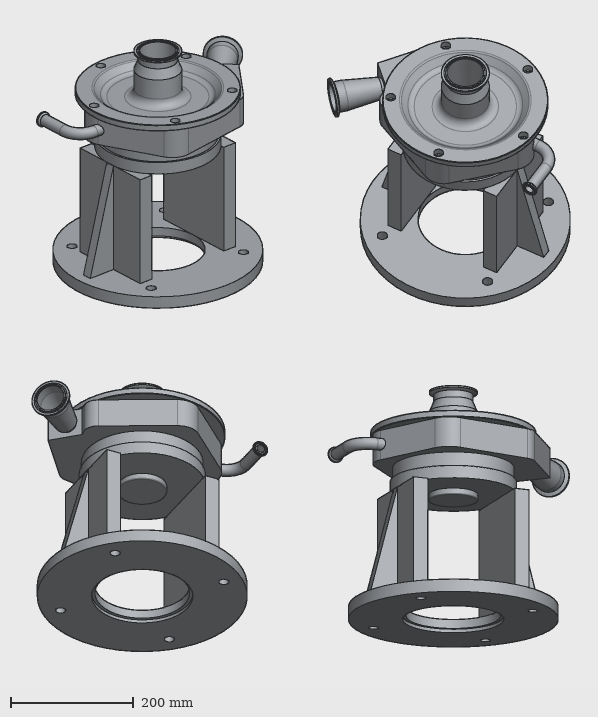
import cadquery as cq
import math

overall_depth = 413.0

base_radius = 171.5
base_height = 21.0
base_opening_radius = 77.2
base_recess_radius = 82.5
base_recess_depth = 5.8
base_hole_radius = 8.3
base_hole_offset = 99.0

flange_bottom = 211.0
upright_width = 150.8
upright_inner_y = 77.2
upright_outer_y = 102.5
rib_width = 17.0
rib_foot_y = 152.5

flange_radius = 103.3
neck_bottom = 232.0
neck_radius = 99.5
hub_radius = 40.0
hub_drop = 10.5
hub_round = 1.2

volute_bottom = 255.5
volute_top = 305.5
corner_step = 72
plain_corner_angles = [189, 189 + corner_step, 189 + 2 * corner_step]
outlet_side_corner_angles = [47, 115]
plain_corner_distance = 99.0
plain_corner_radius = 35.0
outlet_side_corner_distance = 115.2
outlet_side_corner_radius = 24.8

outlet_face_distance = 115.0
outlet_corner_offset = 124.0
outlet_hidden_offset = 44.5
outlet_height = (volute_bottom + volute_top) / 2

cover_top = 317.0
cover_radius = 135.0
cover_chamfer = 1.05
bolt_count = 5
bolt_circle_radius = 122.0
first_bolt_angle = 45
clearance_hole_radius = 8.0
tapped_hole_radius = 5.0
tapped_hole_depth = 16.5

dish_depth = 16.0
dish_rim_radius = 107.5
dish_rim_round = 4.5
dish_floor_radius = 83.5

tube_radius = 39.2
tube_cove = 15.0
tube_shoulder = 350.5
reducer_top = 367.5
suction_top = 385.0
suction_neck_radius = 32.2
suction_ferrule_radius = 39.2
pipe_wall = 2.5

nozzle_axis_offset = 91.3
nozzle_end_distance = 200.0
nozzle_mouth_radius = 25.5
nozzle_root_radius = 18.5
nozzle_root_round = 2.5
nozzle_root_length = 5.0
nozzle_straight_length = 20.0
nozzle_ferrule_radius = 32.2

drain_height = 282.0
drain_radius = 10.0
drain_bore_radius = 7.0
drain_bend_radius = 34.3
drain_end_x = -89.0
drain_root_y = -124.0
drain_ferrule_radius = 13.0
drain_groove_radius = 9.0

ferrule_rim = 3.0
ferrule_cone = 3.0
ferrule_groove_depth = 1.05
ferrule_groove_width = 2.5


def polar(distance, angle):
    turn = math.radians(angle)
    return (distance * math.cos(turn), distance * math.sin(turn))


def cylinder(radius, bottom, top):
    return cq.Workplane("XY").workplane(offset=bottom).circle(radius).extrude(top - bottom)


def revolved(points):
    """Turn (radius, axial) points about the Z axis."""
    return cq.Workplane("XZ").polyline(points).close().revolve(360, (0, 0, 0), (0, 1, 0))


def rounded_outline(corners):
    """Closed convex outline around (centre, radius) corners listed counterclockwise."""
    tangents = []
    for index, (start, start_radius) in enumerate(corners):
        end, end_radius = corners[(index + 1) % len(corners)]
        dx = end[0] - start[0]
        dy = end[1] - start[1]
        lean = math.acos((start_radius - end_radius) / math.hypot(dx, dy))
        tangents.append(math.atan2(dy, dx) - lean)

    def on_corner(index, angle):
        (x, y), radius = corners[index]
        return (x + radius * math.cos(angle), y + radius * math.sin(angle))

    outline = cq.Workplane("XY").moveTo(*on_corner(0, tangents[0]))
    for index in list(range(1, len(corners))) + [0]:
        arrive = tangents[index - 1]
        leave = tangents[index]
        outline = outline.lineTo(*on_corner(index, arrive))
        if corners[index][1] > 0:
            middle = arrive + ((leave - arrive) % (2 * math.pi)) / 2
            outline = outline.threePointArc(on_corner(index, middle), on_corner(index, leave))
    return outline.close()


def make_base():
    base = cylinder(base_radius, 0, base_height)
    base = base.cut(cylinder(base_opening_radius, 0, base_height))
    base = base.cut(cylinder(base_recess_radius, 0, base_recess_depth))
    holes = (
        cq.Workplane("XY")
        .rect(2 * base_hole_offset, 2 * base_hole_offset, forConstruction=True)
        .vertices()
        .circle(base_hole_radius)
        .extrude(base_height)
    )
    return base.cut(holes)


def make_support():
    """One upright with its rib, on the +Y side."""
    upright = cq.Workplane("XY").box(
        upright_width,
        upright_outer_y - upright_inner_y,
        flange_bottom - base_height,
        centered=(True, False, False),
    ).translate((0, upright_inner_y, base_height))
    rib = (
        cq.Workplane("YZ")
        .polyline([
            (upright_inner_y, base_height),
            (rib_foot_y, base_height),
            (upright_outer_y, flange_bottom),
            (upright_inner_y, flange_bottom),
        ])
        .close()
        .extrude(rib_width / 2, both=True)
    )
    return upright.union(rib)


def make_housing_back():
    hub = cylinder(hub_radius, flange_bottom - hub_drop, flange_bottom).faces("<Z").edges().fillet(hub_round)
    flange = cylinder(flange_radius, flange_bottom, neck_bottom)
    neck = cylinder(neck_radius, neck_bottom, volute_bottom)
    return hub.union(flange).union(neck)


def make_volute():
    outlet_side = [
        (polar(outlet_side_corner_distance, angle), outlet_side_corner_radius)
        for angle in outlet_side_corner_angles
    ]
    plain = [(polar(plain_corner_distance, angle), plain_corner_radius) for angle in plain_corner_angles]

    def on_outlet_face(offset):
        x_face, y_face = polar(outlet_face_distance, 135)
        x_along, y_along = polar(offset, 45)
        return (x_face + x_along, y_face + y_along)

    outlet_corners = [
        outlet_side[0],
        (on_outlet_face(outlet_corner_offset), 0),
        (on_outlet_face(outlet_hidden_offset), 0),
        ((0, 0), 0),
    ]
    height = volute_top - volute_bottom
    pentagon = rounded_outline(outlet_side + plain).extrude(height)
    outlet_block = rounded_outline(outlet_corners).extrude(height)
    return pentagon.union(outlet_block).translate((0, 0, volute_bottom))


def make_dish():
    """Ring-shaped space between the cover rim and the foot of the suction tube."""
    slope = math.sqrt(0.5)
    half_sin = math.sin(math.pi / 8)
    half_cos = math.cos(math.pi / 8)
    rim_drop = dish_rim_round * (1 - slope)
    wall_top = (dish_rim_radius - dish_rim_round * slope, cover_top - rim_drop)
    rim_middle = (
        dish_rim_radius - dish_rim_round * half_sin,
        cover_top - dish_rim_round * (1 - half_cos),
    )

    floor = cover_top - dish_depth
    wall_run = wall_top[0] - dish_floor_radius
    wall_drop = wall_top[1] - floor
    floor_round = (wall_run - wall_drop) / (2 * slope - 1)
    wall_foot = (dish_floor_radius + floor_round * slope, floor + floor_round * (1 - slope))
    floor_middle = (
        dish_floor_radius + floor_round * half_sin,
        floor + floor_round * (1 - half_cos),
    )
    cove_offset = tube_cove * (1 - slope)
    return (
        cq.Workplane("XZ")
        .moveTo(tube_radius, cover_top)
        .lineTo(dish_rim_radius, cover_top)
        .threePointArc(rim_middle, wall_top)
        .lineTo(*wall_foot)
        .threePointArc(floor_middle, (dish_floor_radius, floor))
        .lineTo(tube_radius + tube_cove, floor)
        .threePointArc(
            (tube_radius + cove_offset, floor + cove_offset),
            (tube_radius, floor + tube_cove),
        )
        .close()
        .revolve(360, (0, 0, 0), (0, 1, 0))
    )


def make_cover():
    return cylinder(cover_radius, volute_top, cover_top).edges().chamfer(cover_chamfer)


def make_bolt_hole():
    """Clearance hole through the cover and a drilled hole with a conical tip below it."""
    drill_end = volute_top - tapped_hole_depth
    return revolved([
        (0, cover_top),
        (clearance_hole_radius, cover_top),
        (clearance_hole_radius, volute_top),
        (tapped_hole_radius, volute_top),
        (tapped_hole_radius, drill_end),
        (0, drill_end - tapped_hole_radius),
    ])


def ferrule_points(rim_radius, neck_radius, end):
    """Outer profile of a clamp ferrule that ends at the axial position `end`."""
    return [
        (neck_radius, end - ferrule_rim - ferrule_cone),
        (rim_radius, end - ferrule_rim),
        (rim_radius, end),
        (0, end),
    ]


def ferrule_groove(inner_radius, end):
    groove = cq.Workplane("XY").workplane(offset=end - ferrule_groove_depth)
    return groove.circle(inner_radius + ferrule_groove_width).circle(inner_radius).extrude(ferrule_groove_depth)


def make_suction():
    floor = cover_top - dish_depth
    outside = revolved([
        (0, floor),
        (tube_radius, floor),
        (tube_radius, tube_shoulder),
        (suction_neck_radius, reducer_top),
    ] + ferrule_points(suction_ferrule_radius, suction_neck_radius, suction_top))
    return outside.cut(ferrule_groove(suction_neck_radius, suction_top))


def make_suction_bore():
    return cylinder(suction_neck_radius - pipe_wall, outlet_height, suction_top)


def make_nozzle():
    length = nozzle_end_distance - outlet_face_distance
    taper_end = length - nozzle_straight_length
    outside = revolved([
        (0, 0),
        (nozzle_root_radius - nozzle_root_round, 0),
        (nozzle_root_radius, nozzle_root_length),
        (nozzle_mouth_radius, taper_end),
    ] + ferrule_points(nozzle_ferrule_radius, nozzle_mouth_radius, length))
    bore = revolved([
        (0, 0),
        (nozzle_root_radius - nozzle_root_round - pipe_wall, 0),
        (nozzle_root_radius - pipe_wall, nozzle_root_length),
        (nozzle_mouth_radius - pipe_wall, taper_end),
        (nozzle_mouth_radius - pipe_wall, length),
        (0, length),
    ])
    nozzle = outside.cut(bore).cut(ferrule_groove(nozzle_mouth_radius, length))
    return (
        nozzle.rotate((0, 0, 0), (0, 1, 0), 90)
        .translate((outlet_face_distance, -nozzle_axis_offset, outlet_height))
        .rotate((0, 0, 0), (0, 0, 1), 135)
    )


nozzle_top_y = (nozzle_end_distance + nozzle_axis_offset + nozzle_ferrule_radius) * math.sqrt(0.5)
drain_run_y = nozzle_top_y + drain_ferrule_radius - overall_depth


def drain_sweep(radius):
    """Round bar that leaves the volute along -Y and turns through the elbow to -X."""
    bend_start_y = drain_run_y + drain_bend_radius
    bend_inset = drain_bend_radius * (1 - math.sqrt(0.5))
    path = (
        cq.Workplane("XY", origin=(0, 0, drain_height))
        .moveTo(0, drain_root_y)
        .lineTo(0, bend_start_y)
        .threePointArc((-bend_inset, drain_run_y + bend_inset), (-drain_bend_radius, drain_run_y))
        .lineTo(drain_end_x, drain_run_y)
    )
    profile = cq.Workplane("XZ", origin=(0, drain_root_y, drain_height)).circle(radius)
    return profile.sweep(path)


def make_drain():
    ferrule = revolved(
        [(0, -ferrule_rim - ferrule_cone)] + ferrule_points(drain_ferrule_radius, drain_radius, 0)
    )
    ferrule = ferrule.cut(ferrule_groove(drain_groove_radius, 0))
    ferrule = ferrule.rotate((0, 0, 0), (0, 1, 0), -90).translate((drain_end_x, drain_run_y, drain_height))
    return drain_sweep(drain_radius).union(ferrule)


support = make_support()
body = make_base().union(support).union(support.mirror("XZ"))
body = body.union(make_housing_back()).union(make_volute()).union(make_cover())
body = body.cut(make_dish()).union(make_suction()).cut(make_suction_bore())

bolt_hole = make_bolt_hole().translate((bolt_circle_radius, 0, 0))
for bolt in range(bolt_count):
    bolt_angle = first_bolt_angle + bolt * 360 / bolt_count
    body = body.cut(bolt_hole.rotate((0, 0, 0), (0, 0, 1), bolt_angle))

body = body.union(make_nozzle())
result = body.union(make_drain()).cut(drain_sweep(drain_bore_radius))